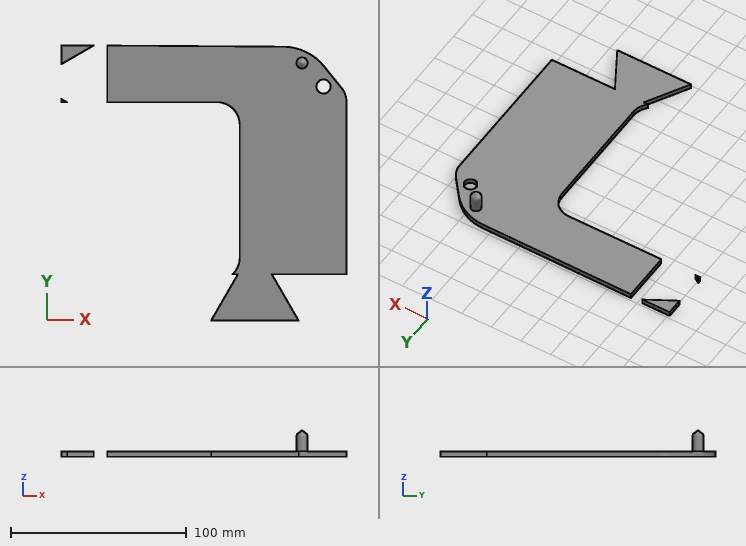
import cadquery as cq
import math

overall_length = 162.39
overall_width = 156.65
thickness = 3.175

arm_width = 32.4
leg_width = 60.96
leg_end = 130.3
inner_radius = 12.7
flare_start = 121.0

corner_taper_drop = 0.75
bevel_top_x = 140.5
bevel_bottom_y = -27.7
bevel_top_radius = 30.0
bevel_bottom_radius = 12.7

dovetail_side = 49.9
dovetail_half_angle = math.radians(30)
tail_center_x = 110.15
socket_center_y = -20.6
socket_depth = 26.1

pin_x, pin_y = 137.0, -10.0
pin_diameter = 6.35
pin_shoulder_z = 12.7
pin_shoulder_radius = 1.27
pin_tip_z = 15.24
hole_x, hole_y = 149.25, -23.4
hole_diameter = 7.94

leg_inner_x = overall_length - leg_width
dovetail_slope = math.tan(dovetail_half_angle)
dovetail_half_side = dovetail_side / 2
tail_length = overall_width - leg_end
tail_half_neck = dovetail_half_side - tail_length * dovetail_slope
flare_drop = leg_end - flare_start
flare_center_x = leg_inner_x - inner_radius


def flare_point(drop):
    """Point on the flare arc, at the given distance below its start."""
    return (flare_center_x + math.sqrt(inner_radius**2 - drop**2), -flare_start - drop)


def socket_edge_y(x, side):
    """Y of the socket's upper (side=1) or lower (side=-1) slanted edge at x."""
    half_width = dovetail_half_side - (socket_depth - x) * dovetail_slope
    return socket_center_y + side * half_width


def socket_edge_x(y, side):
    """X where the socket's upper or lower slanted edge reaches y."""
    half_width = side * (y - socket_center_y)
    return socket_depth - (dovetail_half_side - half_width) / dovetail_slope


def extrude_outline(points):
    return cq.Workplane("XY").polyline(points).close().extrude(thickness)


def round_edge(body, x, y, radius):
    """Fillet the upright edge nearest to (x, y)."""
    edge = cq.selectors.NearestToPointSelector((x, y, thickness / 2))
    return body.edges("|Z").edges(edge).fillet(radius)


def make_plate():
    plate = (
        cq.Workplane("XY")
        .moveTo(socket_depth, 0)
        .lineTo(bevel_top_x, -corner_taper_drop)
        .lineTo(overall_length, bevel_bottom_y)
        .lineTo(overall_length, -leg_end)
        .lineTo(*flare_point(flare_drop))
        .threePointArc(flare_point(flare_drop / 2), flare_point(0))
        .lineTo(leg_inner_x, -arm_width)
        .lineTo(socket_depth, -arm_width)
        .close()
        .extrude(thickness)
    )
    plate = round_edge(plate, leg_inner_x, -arm_width, inner_radius)
    plate = round_edge(plate, bevel_top_x, -corner_taper_drop, bevel_top_radius)
    plate = round_edge(plate, overall_length, bevel_bottom_y, bevel_bottom_radius)

    tail = extrude_outline([
        (tail_center_x - tail_half_neck, -leg_end),
        (tail_center_x + tail_half_neck, -leg_end),
        (tail_center_x + dovetail_half_side, -overall_width),
        (tail_center_x - dovetail_half_side, -overall_width),
    ])
    hole = cq.Workplane("XY").center(hole_x, hole_y).circle(hole_diameter / 2).extrude(thickness)
    return plate.union(tail).cut(hole).union(make_pin())


def make_pin():
    """Round pin with a conical tip and a rounded shoulder, standing on the plate."""
    radius = pin_diameter / 2
    profile = [(0, 0), (radius, 0), (radius, pin_shoulder_z), (0, pin_tip_z)]
    pin = cq.Workplane("XZ").polyline(profile).close().revolve(360, (0, 0, 0), (0, 1, 0))
    pin = pin.edges("%CIRCLE").edges(">Z").fillet(pin_shoulder_radius)
    return pin.translate((pin_x, pin_y, 0))


def make_corner_piece(corner_y, side):
    return extrude_outline([
        (0, corner_y),
        (socket_edge_x(corner_y, side), corner_y),
        (0, socket_edge_y(0, side)),
    ])


plate = make_plate()
upper_corner = make_corner_piece(0, 1)
lower_corner = make_corner_piece(-arm_width, -1)

result = cq.Compound.makeCompound([plate.val(), upper_corner.val(), lower_corner.val()])